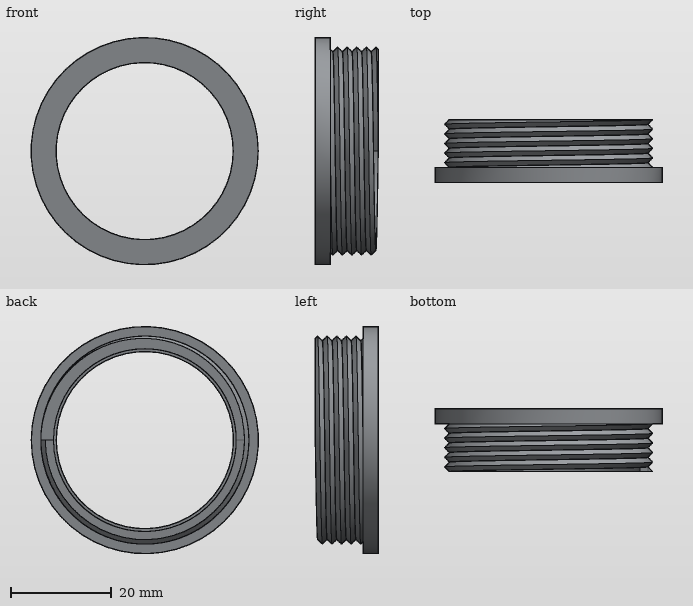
import cadquery as cq

FLANGE_DIAMETER = 45.0
FLANGE_THICKNESS = 3.0
FLANGE_BORE = 35.0
TOTAL_LENGTH = 12.5

SLEEVE_BORE = 36.2
CREST_RADIUS = 20.6
ROOT_RADIUS = 19.7
THREAD_TURNS = 5
LEAD_IN_TURNS = 0.5
RUNOUT_TURNS = 0.5

ROOT_GAP = 0.02
ROOT_OVERLAP = 0.022
CUT_CLEARANCE = 0.45

sleeve_length = TOTAL_LENGTH - FLANGE_THICKNESS
pitch = sleeve_length / THREAD_TURNS


def tube(outer_diameter, bore_diameter, base, length):
    """Plain ring standing on the given height."""
    ring = cq.Workplane("XY").workplane(offset=base).circle(outer_diameter / 2).circle(bore_diameter / 2)
    return ring.extrude(length)


def helical_sweep(profile, turns, base, start_angle=0):
    """Sweep a (radius, height) profile along a right-handed helix; zero start angle is +X."""
    helix = cq.Wire.makeHelix(pitch, turns * pitch, ROOT_RADIUS)
    path = cq.Workplane(obj=helix)
    swept = cq.Workplane("XZ").polyline(profile).close().sweep(path, isFrenet=True)
    return swept.rotate((0, 0, 0), (0, 0, 1), start_angle).translate((0, 0, base))


def thread_ridge():
    """V ridge whose crest climbs from the flange face to the free end."""
    half_width = (pitch - ROOT_GAP) / 2
    base_radius = ROOT_RADIUS - ROOT_OVERLAP
    profile = [
        (base_radius, -half_width),
        (CREST_RADIUS, 0),
        (base_radius, half_width),
    ]
    start_height = FLANGE_THICKNESS - LEAD_IN_TURNS * pitch
    return helical_sweep(profile, THREAD_TURNS + LEAD_IN_TURNS, start_height, -360 * LEAD_IN_TURNS)


def end_runout():
    """Half-turn cutter: the free end follows the thread root up from half a pitch deep."""
    inner = SLEEVE_BORE / 2 - CUT_CLEARANCE
    outer = CREST_RADIUS + CUT_CLEARANCE
    profile = [(inner, 0), (outer, 0), (outer, pitch), (inner, pitch)]
    return helical_sweep(profile, RUNOUT_TURNS, TOTAL_LENGTH - RUNOUT_TURNS * pitch)


flange = tube(FLANGE_DIAMETER, FLANGE_BORE, 0, FLANGE_THICKNESS)
sleeve = tube(2 * ROOT_RADIUS, SLEEVE_BORE, FLANGE_THICKNESS, sleeve_length)
ridge_limits = tube(FLANGE_DIAMETER, SLEEVE_BORE, FLANGE_THICKNESS, sleeve_length)
ridge = thread_ridge().intersect(ridge_limits)

threaded_sleeve = sleeve.union(ridge).cut(end_runout())
result = flange.union(threaded_sleeve).rotate((0, 0, 0), (1, 0, 0), -90)